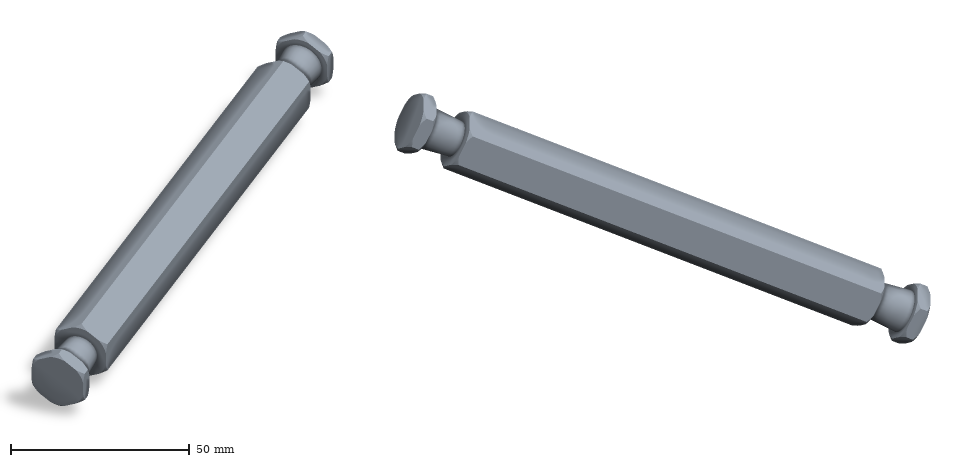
import cadquery as cq
import math

total_length = 165.0
across_flats = 16.0
head_thickness = 4.1
neck_length = 10.9
neck_diameter_at_head = 12.5
neck_diameter_at_body = 10.5

chamfer_depth = 1.0
chamfer_length = 1.0

across_corners = across_flats / math.cos(math.pi / 6)
corner_radius = across_corners / 2
end_radius = corner_radius - chamfer_depth
half_length = total_length / 2
head_inner_y = half_length - head_thickness
body_end_y = head_inner_y - neck_length


def revolve_about_y(outline):
    """Revolve a closed (radius, y) outline about the Y axis."""
    return cq.Workplane("XY").polyline(outline).close().revolve(360, (0, 0, 0), (0, 1, 0))


def chamfered_hexagon(start_y, end_y):
    """Hexagonal bar with corners on +Z and -Z, trimmed by a cone at each end."""
    bar = (
        cq.Workplane("XZ", origin=(0, end_y, 0))
        .transformed(rotate=(0, 0, 90))
        .polygon(6, across_corners)
        .extrude(end_y - start_y)
    )
    envelope = revolve_about_y([
        (0, start_y),
        (end_radius, start_y),
        (corner_radius, start_y + chamfer_length),
        (corner_radius, end_y - chamfer_length),
        (end_radius, end_y),
        (0, end_y),
    ])
    return bar.intersect(envelope)


def end_fitting():
    """Hexagonal head on a neck that narrows towards the body, at the +Y end."""
    neck = revolve_about_y([
        (0, body_end_y),
        (neck_diameter_at_body / 2, body_end_y),
        (neck_diameter_at_head / 2, head_inner_y),
        (0, head_inner_y),
    ])
    return chamfered_hexagon(head_inner_y, half_length).union(neck)


body = chamfered_hexagon(-body_end_y, body_end_y)
fitting = end_fitting()
result = body.union(fitting).union(fitting.mirror("XZ"))